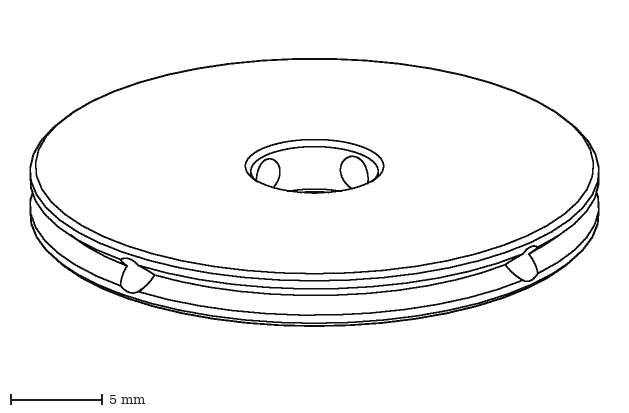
import cadquery as cq

OUTER_DIAMETER = 31.25
THICKNESS = 3.125
BORE_DIAMETER = 7.0
EDGE_CHAMFER = 0.3
GROOVE_WIDTH = THICKNESS / 2
GROOVE_DEPTH = 0.94
CROSS_HOLE_DIAMETER = 2.0
SEAM_TURN = 90

OUTER_RADIUS = OUTER_DIAMETER / 2
CROSS_HOLE_LENGTH = OUTER_DIAMETER + 2 * CROSS_HOLE_DIAMETER


def make_disc():
    """Flat disc with a central bore, centred on the origin, chamfered on every rim."""
    disc = cq.Workplane("XY").workplane(offset=-THICKNESS / 2)
    disc = disc.circle(OUTER_RADIUS).circle(BORE_DIAMETER / 2).extrude(THICKNESS)
    return disc.faces("|Z").edges().chamfer(EDGE_CHAMFER)


def make_groove_cutter():
    """Ring of triangular section that cuts the V-groove around the rim."""
    half_width = GROOVE_WIDTH / 2
    profile = cq.Workplane("XZ").polyline([
        (OUTER_RADIUS - GROOVE_DEPTH, 0),
        (OUTER_RADIUS, half_width),
        (OUTER_RADIUS, -half_width),
    ]).close()
    return profile.revolve(360, (0, 0, 0), (0, 1, 0))


def make_cross_hole_cutter(plane):
    """Cylinder along the normal of the given plane, through the full diameter.

    It is turned about its own axis so that its seam line lies at the top or bottom of the
    hole. A seam at mid-height would touch the bottom of the groove and spoil the cut.
    """
    start = cq.Workplane(plane).transformed(
        offset=(0, 0, -CROSS_HOLE_LENGTH / 2),
        rotate=(0, 0, SEAM_TURN),
    )
    return start.circle(CROSS_HOLE_DIAMETER / 2).extrude(CROSS_HOLE_LENGTH)


result = make_disc().cut(make_groove_cutter())
for hole_plane in ("XZ", "YZ"):
    result = result.cut(make_cross_hole_cutter(hole_plane))